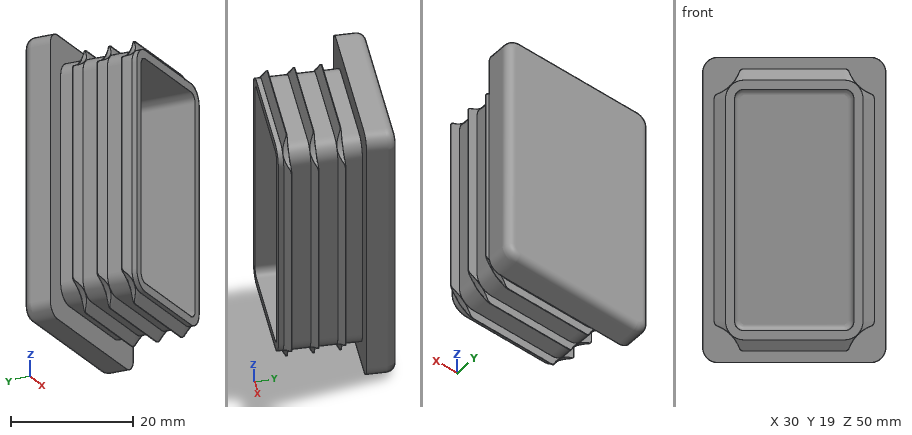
import cadquery as cq
import math


plate_width = 30.0
plate_height = 50.0
plate_thickness = 5.0
plate_corner_radius = 2.5
plate_edge_fillet = 1.5

plug_inset = 3.75
plug_width = plate_width - 2 * plug_inset
plug_height = plate_height - 2 * plug_inset
plug_length = 14.0
plug_corner_radius = 3.0
wall = 1.5
cavity_depth = plug_length
cavity_floor_fillet = 1.0

fin_count = 3
fin_pitch = 4.5
first_fin_offset = 3.1
fin_reach = 1.85
fin_thickness = 1.0
fin_tip_thickness = 0.1
fin_tip_radius = 0.8
relief_touch_radius = 3.05


def plane_at(y):
    """Sketch plane at the given Y, facing -Y with local x along +X and local y along +Z."""
    return cq.Workplane(cq.Plane(origin=(0, y, 0), xDir=(1, 0, 0), normal=(0, -1, 0)))


def rounded_block(width, height, radius, start_y, length):
    """Block with rounded corners running from start_y towards -Y."""
    return plane_at(start_y).rect(width, height).extrude(length).edges("|Y").fillet(radius)


def fin_outline(start_y):
    """Closed outline whose straight lips dip to the plug surface at each corner."""
    center_x = plug_width / 2 - plug_corner_radius
    center_z = plug_height / 2 - plug_corner_radius
    lip = plug_corner_radius + fin_reach

    tip_center = lip - fin_tip_radius
    touch = relief_touch_radius - fin_tip_radius
    relief_center = (tip_center**2 - touch**2) / (2 * (tip_center - math.sqrt(2) * touch))
    tangent_angle = math.atan2(relief_center - tip_center, relief_center)
    mid_angle = (math.pi / 2 + tangent_angle) / 2

    def on_tip_arc(angle):
        return fin_tip_radius * math.cos(angle), tip_center + fin_tip_radius * math.sin(angle)

    mid = on_tip_arc(mid_angle)
    tangent = on_tip_arc(tangent_angle)
    bottom = relief_touch_radius / math.sqrt(2)
    corner = [(0, lip), mid, tangent, (bottom, bottom), tangent[::-1], mid[::-1], (lip, 0)]

    outline = plane_at(start_y).moveTo(-center_x, center_z + lip)
    for sign_x, sign_z in ((1, 1), (1, -1), (-1, -1), (-1, 1)):
        points = [(sign_x * (center_x + u), sign_z * (center_z + v)) for u, v in corner]
        if sign_x != sign_z:
            points.reverse()
        outline = outline.lineTo(*points[0])
        for through, end in zip(points[1::2], points[2::2]):
            outline = outline.threePointArc(through, end)
    return outline.close()


def fin(start_y):
    """Fin with a flat face towards the plate and a slope running down to the plug."""
    width = plug_width + 2 * fin_reach
    height = plug_height + 2 * fin_reach
    radius = plug_corner_radius + fin_reach
    slope_length = fin_thickness - fin_tip_thickness
    slope_angle = math.degrees(math.atan2(fin_reach, slope_length))

    lip = rounded_block(width, height, radius, start_y, fin_tip_thickness)
    slope = lip.faces("<Y").wires().toPending().workplane().extrude(slope_length, taper=slope_angle)
    return slope.intersect(fin_outline(start_y).extrude(fin_thickness))


plate = rounded_block(plate_width, plate_height, plate_corner_radius, plate_thickness, plate_thickness)
plate = plate.faces(">Y").edges().fillet(plate_edge_fillet)

result = plate.union(rounded_block(plug_width, plug_height, plug_corner_radius, 0, plug_length))

for index in range(fin_count):
    result = result.union(fin(-first_fin_offset - index * fin_pitch))

cavity = rounded_block(
    plug_width - 2 * wall,
    plug_height - 2 * wall,
    plug_corner_radius - wall,
    cavity_depth - plug_length,
    cavity_depth,
)
cavity = cavity.faces(">Y").edges().fillet(cavity_floor_fillet)
result = result.cut(cavity)